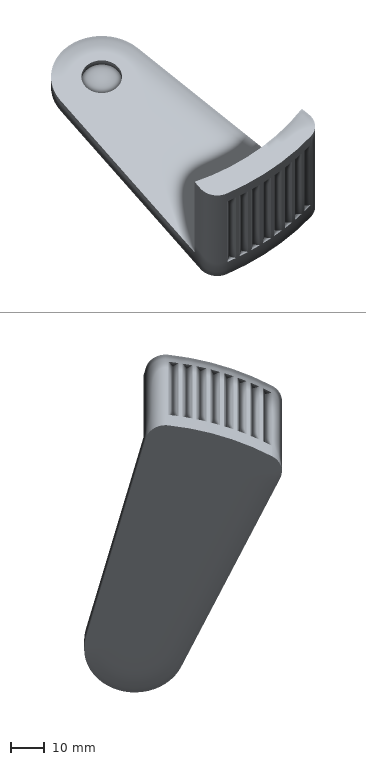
import cadquery as cq
import math

length = 92.9
width = 42.0
height = 40.0

plate_thickness = 5.0
pivot_end_radius = 15.0
outer_radius = length - pivot_end_radius
wall_thickness = 8.0
inner_radius = outer_radius - wall_thickness
corner_radius = 6.0

groove_count = 8
groove_angle_step = 3.1
groove_width = 3.0
groove_depth = groove_width / 2
groove_clearance = 0.2
groove_bottom = 5.95
groove_length = 30.0

pocket_diameter = 12.0
pocket_depth = 2.0

corner_y = width / 2 - corner_radius
corner_distance = outer_radius - corner_radius
corner_x = math.sqrt(corner_distance**2 - corner_y**2)
corner_angle = math.atan2(corner_y, corner_x)
side_angle = corner_angle - math.asin((pivot_end_radius - corner_radius) / corner_distance)


def polar(radius, angle, center=(0, 0)):
    return (center[0] + radius * math.cos(angle), center[1] + radius * math.sin(angle))


def mirrored(point):
    return (point[0], -point[1])


def fan_outline():
    """Closed outline: round pivot end, two flaring sides, rounded corners, outer arc."""
    normal_angle = math.pi / 2 + side_angle
    corner_center = (corner_x, corner_y)
    side_start = polar(pivot_end_radius, normal_angle)
    side_end = polar(corner_radius, normal_angle, corner_center)
    corner_middle = polar(corner_radius, (normal_angle + corner_angle) / 2, corner_center)
    outer_end = polar(outer_radius, corner_angle)
    return (
        cq.Workplane("XY")
        .moveTo(*side_start)
        .lineTo(*side_end)
        .threePointArc(corner_middle, outer_end)
        .threePointArc((outer_radius, 0), mirrored(outer_end))
        .threePointArc(mirrored(corner_middle), mirrored(side_end))
        .lineTo(*mirrored(side_start))
        .threePointArc((-pivot_end_radius, 0), side_start)
        .close()
    )


def space_inside_wall():
    """Cylinder about the pivot that leaves the curved wall standing on the plate."""
    return (
        cq.Workplane("XY", origin=(0, 0, plate_thickness))
        .circle(inner_radius)
        .extrude(height - plate_thickness)
    )


def pivot_pocket():
    return (
        cq.Workplane("XY", origin=(0, 0, plate_thickness - pocket_depth))
        .circle(pocket_diameter / 2)
        .extrude(pocket_depth)
    )


def grip_grooves():
    """Evenly spaced V-grooves, each pointing straight at the pivot."""
    groove_slope = 2 * groove_depth / groove_width
    mouth_x = outer_radius + groove_clearance
    mouth_half_width = groove_width / 2 + groove_clearance / groove_slope
    middle_groove = (
        cq.Workplane("XY", origin=(0, 0, groove_bottom))
        .moveTo(outer_radius - groove_depth, 0)
        .lineTo(mouth_x, -mouth_half_width)
        .lineTo(mouth_x, mouth_half_width)
        .close()
        .extrude(groove_length)
    )
    grooves = cq.Workplane("XY")
    for index in range(groove_count):
        angle = groove_angle_step * (index - (groove_count - 1) / 2)
        grooves = grooves.add(middle_groove.rotate((0, 0, 0), (0, 0, 1), angle))
    return grooves.combine()


bracket = fan_outline().extrude(height).cut(space_inside_wall()).cut(pivot_pocket())
result = bracket.cut(grip_grooves())